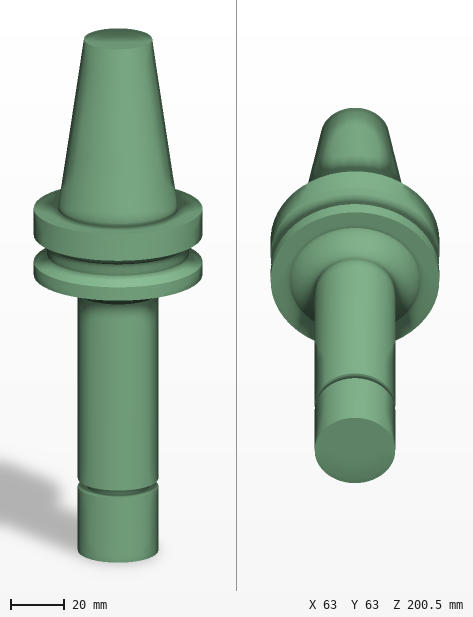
import cadquery as cq

total_length = 200.5
taper_length = 65.3
collar_height = 1.0
upper_rim_height = 10.5
groove_side_height = 3.0
groove_floor_height = 4.5
flange_height = 26.0
shoulder_height = 6.8
neck_height = 3.0
nut_height = 25.3

taper_tip_diameter = 25.5
taper_base_diameter = 44.5
flange_diameter = 63.0
flange_groove_diameter = 53.0
shoulder_diameter = 48.5
shank_diameter = 30.0
neck_diameter = 23.0

half_length = total_length / 2
nut_bottom = -half_length
nut_top = nut_bottom + nut_height
shank_bottom = nut_top + neck_height
taper_base = half_length - taper_length
flange_top = taper_base - collar_height
flange_bottom = flange_top - flange_height
shank_top = flange_bottom - shoulder_height


def make_holder():
    """Revolved tool holder: taper, grooved flange, shoulder, shank and neck."""
    groove_top = flange_top - upper_rim_height
    groove_floor_top = groove_top - groove_side_height
    groove_floor_bottom = groove_floor_top - groove_floor_height
    groove_bottom = groove_floor_bottom - groove_side_height
    profile = [
        (0, half_length),
        (taper_tip_diameter / 2, half_length),
        (taper_base_diameter / 2, taper_base),
        (taper_base_diameter / 2, flange_top),
        (flange_diameter / 2, flange_top),
        (flange_diameter / 2, groove_top),
        (flange_groove_diameter / 2, groove_floor_top),
        (flange_groove_diameter / 2, groove_floor_bottom),
        (flange_diameter / 2, groove_bottom),
        (flange_diameter / 2, flange_bottom),
        (shoulder_diameter / 2, flange_bottom),
        (shank_diameter / 2, shank_top),
        (shank_diameter / 2, shank_bottom),
        (neck_diameter / 2, shank_bottom),
        (neck_diameter / 2, nut_top),
        (0, nut_top),
    ]
    return cq.Workplane("XZ").polyline(profile).close().revolve(360, (0, 0), (0, 1))


def make_nut():
    """Plain cylindrical nut, flush with the shank and seated against the neck."""
    return (
        cq.Workplane("XY")
        .workplane(offset=nut_bottom)
        .circle(shank_diameter / 2)
        .extrude(nut_height)
    )


holder = make_holder()
nut = make_nut()

result = cq.Compound.makeCompound([holder.val(), nut.val()])